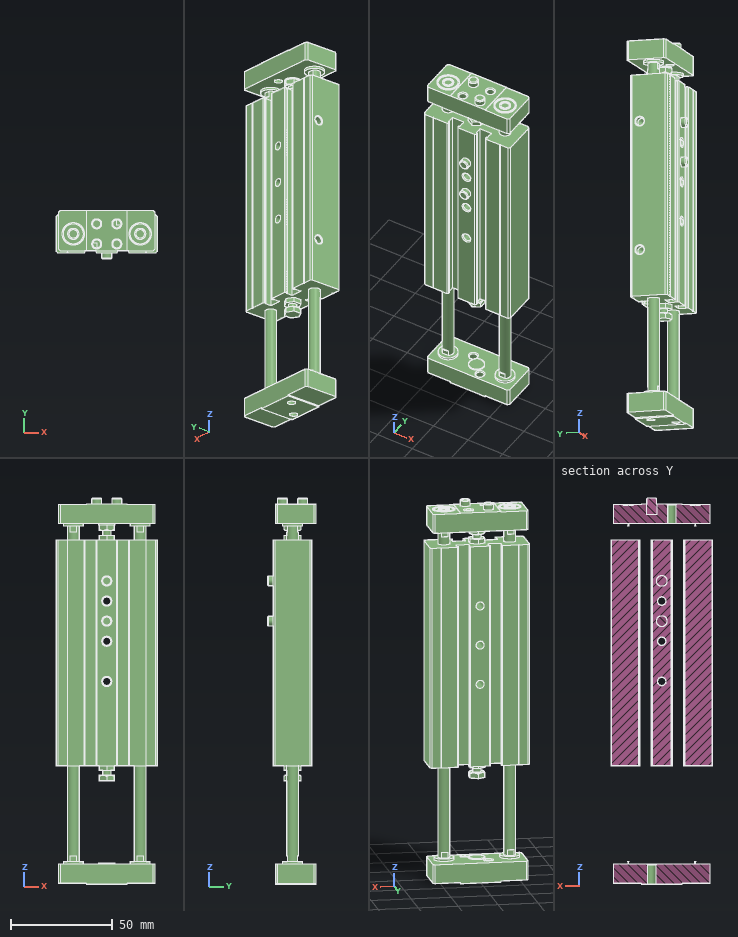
import cadquery as cq

total_height = 190.6
plate_thickness = 9.5
front_plug_protrusion = 2.9
top_plug_protrusion = 3.2
foot_pad_height = 0.5
housing_bottom = 58.5
housing_length = 111.3
housing_top = housing_bottom + housing_length
bottom_plate_base = foot_pad_height
top_plate_top = total_height - top_plug_protrusion
bottom_plate_inner = bottom_plate_base + plate_thickness
top_plate_inner = top_plate_top - plate_thickness

housing_width = 50.0
housing_depth = 19.0
housing_corner_chamfer = 1.0
groove_pitch = 38.7
groove_width = 0.2
groove_depth = 0.4
slot_offset = 8.0
slot_mouth_width = 5.3
slot_inner_width = 6.5
slot_depth = 5.1
slot_lip = 1.5
slot_mouth_chamfer = 0.5

cross_pitch = 10.0
first_cross_z = 149.6
open_cross_steps = (1, 3, 5)
plugged_cross_steps = (0, 2)
threaded_core_diameter = 4.0
threaded_mouth_diameter = 5.0
threaded_mouth_depth = 0.5
port_heights = (81.8, 146.4)
port_y = 4.5
port_diameter = 4.2
port_mouth_diameter = 5.0
port_mouth_depth = 0.4
port_depth = 3.8
port_tip_depth = 1.1

plate_width = 47.6
plate_depth = 20.0
plate_back_y = 11.6
plate_y = plate_back_y - plate_depth / 2
plate_corner_chamfer = 1.0
head_pad_height = 0.2
pad_width = 20.2
plate_hole_offset = 5.0

rod_pitch = 33.0
rod_diameter = 6.0
rod_flat_width = 5.0
rod_flat_length = 2.9
boss_diameter = 10.0
boss_height = 1.1
outer_ring_diameters = (10.0, 11.0)
inner_ring_diameters = (4.2, 5.5)
ring_depth = 0.4
bumper_diameter = 8.0
bumper_height = 0.5

plug_diameter = 5.0
plug_chamfer = 0.48
plug_seat_depth = 5.0

hex_flats = 7.5
nut_height = 2.3
bolt_head_height = 2.9
bolt_diameter = 4.2
bolt_insertion = 9.5
bolt_head_bevel_diameter = 7.2

SIDES = (-1, 1)
housing_mid_z = (housing_bottom + housing_top) / 2


def cylinder(diameter, length, start, direction):
    """Solid cylinder from a start point along a direction."""
    return cq.Workplane(cq.Solid.makeCylinder(diameter / 2, length, cq.Vector(*start), cq.Vector(*direction)))


def cone(start_diameter, end_diameter, length, start, direction):
    """Solid cone from a start point along a direction."""
    return cq.Workplane(
        cq.Solid.makeCone(
            start_diameter / 2, end_diameter / 2, length, cq.Vector(*start), cq.Vector(*direction)
        )
    )


def box(x_size, y_size, z_size, center):
    return cq.Workplane("XY").box(x_size, y_size, z_size).translate(center)


def threaded_hole(length, start, direction):
    """Core hole with a conical mouth at its start."""
    mouth = cone(threaded_mouth_diameter, threaded_core_diameter, threaded_mouth_depth, start, direction)
    return cylinder(threaded_core_diameter, length, start, direction).union(mouth)


def flip_end(body):
    """The same body at the other end of the housing."""
    return body.mirror("XY", (0, 0, housing_mid_z))


def cross_z(step):
    return first_cross_z - step * cross_pitch



def sensor_slot(side_x, side_y):
    """T-shaped slot along Z, cut into the front or back face."""
    face = housing_depth / 2
    mouth = slot_mouth_width / 2
    flare = mouth + slot_mouth_chamfer
    inner = slot_inner_width / 2
    half = [
        (flare, face),
        (mouth, face - slot_mouth_chamfer),
        (mouth, face - slot_lip),
        (inner, face - slot_lip),
        (inner, face - slot_depth),
    ]
    outline = half + [(-x, y) for x, y in reversed(half)]
    points = [(side_x * slot_offset + x, side_y * y) for x, y in outline]
    return cq.Workplane("XY").workplane(offset=housing_bottom).polyline(points).close().extrude(housing_length)


def side_port(z):
    """Drilled port with a chamfered mouth and a conical bottom."""
    face_x = -housing_width / 2
    inward = (1, 0, 0)
    drill = cylinder(port_diameter, port_depth, (face_x, port_y, z), inward)
    tip = cone(port_diameter, 0, port_tip_depth, (face_x + port_depth, port_y, z), inward)
    mouth = cone(port_mouth_diameter, port_diameter, port_mouth_depth, (face_x, port_y, z), inward)
    return drill.union(tip).union(mouth)


def make_housing():
    body = box(housing_width, housing_depth, housing_length, (0, 0, housing_mid_z))
    body = body.edges("|Z").chamfer(housing_corner_chamfer)
    for side_x in SIDES:
        for side_y in SIDES:
            groove_y = side_y * (housing_depth - groove_depth) / 2
            groove_center = (side_x * groove_pitch / 2, groove_y, housing_mid_z)
            body = body.cut(box(groove_width, groove_depth, housing_length, groove_center))
            body = body.cut(sensor_slot(side_x, side_y))
        rod_start = (side_x * rod_pitch / 2, 0, housing_bottom)
        body = body.cut(cylinder(rod_diameter, housing_length, rod_start, (0, 0, 1)))

    front_y = -housing_depth / 2
    inward = (0, 1, 0)
    for step in open_cross_steps:
        start = (0, front_y, cross_z(step))
        body = body.cut(threaded_hole(housing_depth, start, inward))
    for step in plugged_cross_steps:
        start = (0, front_y, cross_z(step))
        body = body.cut(cylinder(plug_diameter, plug_seat_depth, start, inward))

    for z in port_heights:
        body = body.cut(side_port(z))
    bolt_hole = cylinder(bolt_diameter, bolt_insertion, (0, 0, housing_top), (0, 0, -1))
    return body.cut(bolt_hole).cut(flip_end(bolt_hole))



def end_plate(outer_z, inner_z):
    """Plate between two heights, with rod bosses and a bumper disc on its inner face."""
    inward = 1 if inner_z > outer_z else -1
    direction = (0, 0, inward)
    plate = box(plate_width, plate_depth, plate_thickness, (0, plate_y, (outer_z + inner_z) / 2))
    plate = plate.edges("|Z").chamfer(plate_corner_chamfer)
    plate = plate.union(cylinder(bumper_diameter, bumper_height, (0, 0, inner_z), direction))
    for side in SIDES:
        rod_x = side * rod_pitch / 2
        plate = plate.union(cylinder(boss_diameter, boss_height, (rod_x, 0, inner_z), direction))
    return plate


def make_bottom_plate():
    plate = end_plate(bottom_plate_base, bottom_plate_inner)
    pad = box(pad_width, plate_depth, foot_pad_height, (0, plate_y, foot_pad_height / 2))
    plate = plate.union(pad)
    for side in SIDES:
        start = (side * plate_hole_offset, -side * plate_hole_offset, bottom_plate_inner)
        plate = plate.cut(threaded_hole(bottom_plate_inner, start, (0, 0, -1)))
    return plate


def make_top_plate():
    plate = end_plate(top_plate_top, top_plate_inner)
    pad_top = top_plate_top + head_pad_height
    pad_center = (0, plate_y, (top_plate_top + pad_top) / 2)
    plate = plate.union(box(pad_width, plate_depth, head_pad_height, pad_center))
    down = (0, 0, -1)
    for side in SIDES:
        x = side * plate_hole_offset
        open_start = (x, x, pad_top)
        plugged_start = (x, -x, pad_top)
        plate = plate.cut(threaded_hole(plate_thickness + head_pad_height, open_start, down))
        plate = plate.cut(cylinder(plug_diameter, plug_seat_depth + head_pad_height, plugged_start, down))
    return plate


def rod(side):
    """Rod between the plates' outer faces, with wrench flats beside both bosses."""
    rod_x = side * rod_pitch / 2
    length = top_plate_top - bottom_plate_base
    body = cylinder(rod_diameter, length, (rod_x, 0, bottom_plate_base), (0, 0, 1))
    low_flat = bottom_plate_inner + boss_height + rod_flat_length / 2
    high_flat = top_plate_inner - boss_height - rod_flat_length / 2
    for flat_z in (low_flat, high_flat):
        for side_y in SIDES:
            flat_y = side_y * (rod_flat_width + rod_diameter) / 2
            body = body.cut(box(rod_diameter, rod_diameter, rod_flat_length, (rod_x, flat_y, flat_z)))
    return body


def ring_groove(x, inner_diameter, outer_diameter):
    """Shallow ring around a rod axis, sunk into the top plate's outer face."""
    start = (x, 0, top_plate_top)
    down = (0, 0, -1)
    core = cylinder(inner_diameter, ring_depth, start, down)
    return cylinder(outer_diameter, ring_depth, start, down).cut(core)


def make_slide():
    slide = make_bottom_plate()
    for side in SIDES:
        slide = slide.union(rod(side))
    slide = slide.union(make_top_plate())
    for side in SIDES:
        for diameters in (outer_ring_diameters, inner_ring_diameters):
            slide = slide.cut(ring_groove(side * rod_pitch / 2, *diameters))
    return slide



def plug(seat, outward, protrusion):
    """Round plug whose outer end is chamfered; seat is the centre of its inner end."""
    body = cylinder(plug_diameter, plug_seat_depth + protrusion, seat, outward)
    end = body.faces(cq.selectors.DirectionMinMaxSelector(cq.Vector(*outward), True))
    return end.chamfer(plug_chamfer)


def hexagon(base_z, height):
    """Hexagonal prism around Z with two flats facing X."""
    prism = cq.Workplane("XY").polygon(6, hex_flats, circumscribed=True).extrude(height)
    return prism.translate((0, 0, base_z))


def make_top_bolt():
    """Bolt screwed into the housing; its head is beveled at 45 degrees and meets the bumper disc."""
    head_top = top_plate_inner - bumper_height
    head_base = head_top - bolt_head_height
    bevel_end_diameter = bolt_head_bevel_diameter + 2 * bolt_head_height
    bevel = cone(bolt_head_bevel_diameter, bevel_end_diameter, bolt_head_height, (0, 0, head_base), (0, 0, 1))
    head = hexagon(head_base, bolt_head_height).intersect(bevel)
    shank_base = housing_top - bolt_insertion
    return head.union(cylinder(bolt_diameter, head_base - shank_base, (0, 0, shank_base), (0, 0, 1)))


def make_top_nut():
    nut = hexagon(housing_top, nut_height)
    return nut.cut(cylinder(bolt_diameter, nut_height, (0, 0, housing_top), (0, 0, 1)))


housing = make_housing()
slide = make_slide()
top_bolt = make_top_bolt()
top_nut = make_top_nut()
bolts = [top_bolt, flip_end(top_bolt)]
nuts = [top_nut, flip_end(top_nut)]
front_plugs = [
    plug((0, plug_seat_depth - housing_depth / 2, cross_z(step)), (0, -1, 0), front_plug_protrusion)
    for step in plugged_cross_steps
]
top_plugs = [
    plug(
        (side * plate_hole_offset, -side * plate_hole_offset, top_plate_top - plug_seat_depth),
        (0, 0, 1),
        top_plug_protrusion,
    )
    for side in SIDES
]

bodies = [housing, slide, *bolts, *nuts, *front_plugs, *top_plugs]
result = cq.Compound.makeCompound([body.val() for body in bodies])